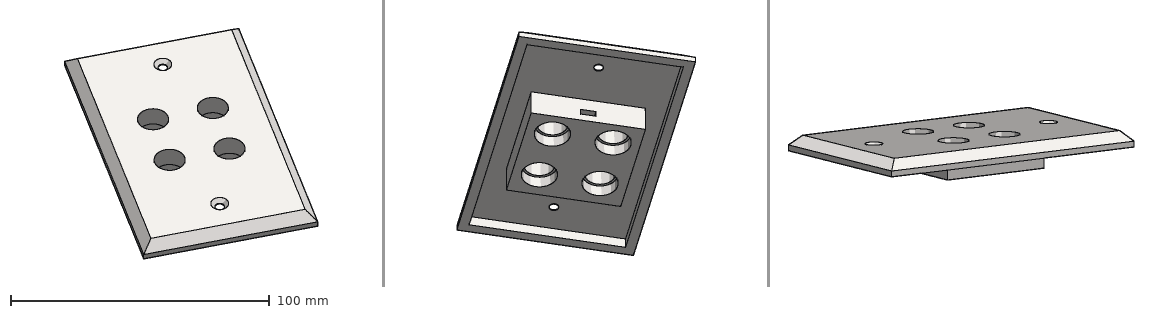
import cadquery as cq
import math

plate_length = 114.3
plate_width = 69.85
overall_height = 13.0
plate_thickness = 6.35
bevel = 4.0
skin_thickness = 2.0
rim_width = 4.0

block_length = 45.5
block_width = 45.2
block_height = overall_height - plate_thickness
block_offset_x = 0.55

button_diameter = 12.0
button_pitch = 24.0
button_bore_depth = 8.0
button_pocket_diameter = 14.0

screw_diameter = 3.66
screw_head_diameter = 6.9
screw_head_angle = 90.0
screw_spacing = 82.3

nut_flats = 6.0
nut_slot_height = 2.4
nut_slot_drop = 1.1
nut_corner_radius = nut_flats / math.sqrt(3)


def bevelled_plate():
    plate = cq.Workplane("XY").box(plate_length, plate_width, plate_thickness, centered=(True, True, False))
    return plate.faces(">Z").chamfer(bevel)


def underside_recess():
    """Hollow behind the plate that leaves a thin skin and a rim around the edge."""
    length = plate_length - 2 * rim_width
    width = plate_width - 2 * rim_width
    depth = plate_thickness - skin_thickness
    return cq.Workplane("XY").box(length, width, depth, centered=(True, True, False))


def rear_block():
    """Block that reaches from inside the skin down past the plate."""
    height = block_height + plate_thickness - skin_thickness / 2
    block = cq.Workplane("XY").box(block_length, block_width, height, centered=(True, True, False))
    return block.translate((block_offset_x, 0, -block_height))


def button_bores():
    """Bores through the plate, each widening into a pocket that opens through the back of the block."""
    top = cq.Workplane("XY").workplane(offset=plate_thickness)
    bores = top.rarray(button_pitch, button_pitch, 2, 2).circle(button_diameter / 2).extrude(-overall_height)
    ledge = top.workplane(offset=-button_bore_depth)
    pockets = ledge.rarray(button_pitch, button_pitch, 2, 2).circle(button_pocket_diameter / 2)
    return bores.union(pockets.extrude(button_bore_depth - overall_height))


def nut_slot():
    """Slot deep enough to take the whole nut, ending in two hexagon flats that meet at a corner."""
    mouth_x = block_offset_x - block_length / 2
    tip_x = mouth_x + 2 * nut_corner_radius
    shoulder_x = tip_x - nut_corner_radius / 2
    half_width = nut_flats / 2
    outline = [
        (mouth_x, -half_width),
        (shoulder_x, -half_width),
        (tip_x, 0),
        (shoulder_x, half_width),
        (mouth_x, half_width),
    ]
    ceiling = cq.Workplane("XY").workplane(offset=-nut_slot_drop)
    return ceiling.polyline(outline).close().extrude(-nut_slot_height)


def with_screw_holes(body):
    top = body.faces(">Z").workplane(origin=(0, 0, plate_thickness))
    positions = top.rarray(screw_spacing, 1, 2, 1)
    return positions.cskHole(screw_diameter, screw_head_diameter, screw_head_angle)


body = bevelled_plate().cut(underside_recess()).union(rear_block())
body = body.cut(button_bores()).cut(nut_slot())
result = with_screw_holes(body)